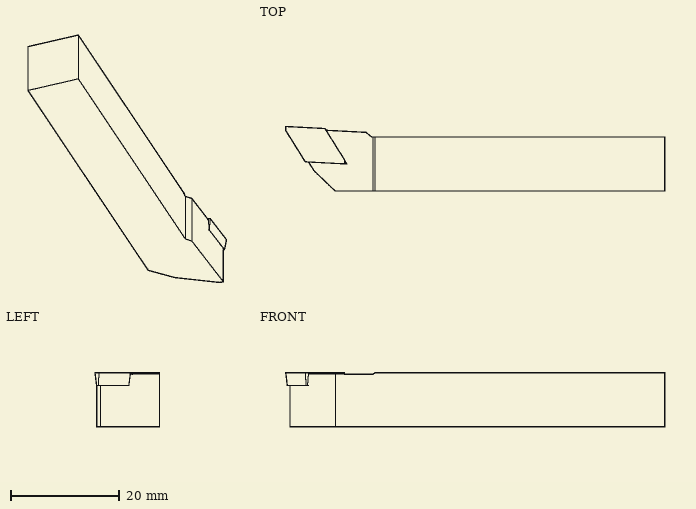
import cadquery as cq
import math

TOTAL_LENGTH = 70
TOTAL_WIDTH = 12.0
SHANK_SIZE = 10.0

INSERT_SIDE = 7.8
INSERT_ANGLE = 55
LEAD_ANGLE = 3
INSERT_THICKNESS = 2.4
RELIEF_ANGLE = 7
CLIP_DEPTH = 0.5

HEAD_DROP = 0.3
STEP_START = 16.1
STEP_END = 16.5
NOSE_X = 0.8
NOSE_TOP_Y = 11.6
NOSE_HEIGHT = 0.7
SHOULDER_START = 14.85
SHOULDER_END = 15.9
CORNER_X = 9.2
FACET_TOP_Y = 4.1
FACET_BOTTOM_Y = 3.8
FACET_RUN = 0.2

lead_slope = math.tan(math.radians(LEAD_ANGLE))
flank_angle = LEAD_ANGLE + INSERT_ANGLE
flank_slope = math.tan(math.radians(flank_angle))


def step_from(point, length, angle_below_x):
    """Point reached by moving along a direction turned clockwise from +X."""
    angle = math.radians(angle_below_x)
    return (point[0] + length * math.cos(angle), point[1] - length * math.sin(angle))


tip = (-CLIP_DEPTH, TOTAL_WIDTH + CLIP_DEPTH * lead_slope)
back_corner = step_from(tip, INSERT_SIDE, LEAD_ANGLE)
inner_corner = step_from(back_corner, INSERT_SIDE, flank_angle)
front_corner = step_from(tip, INSERT_SIDE, flank_angle)


def tapered_plate(outline):
    """Plate hanging from the shank-top level, narrowing downwards by the relief angle."""
    return (
        cq.Workplane("XY", origin=(0, 0, SHANK_SIZE))
        .polyline(outline)
        .close()
        .extrude(-INSERT_THICKNESS, taper=RELIEF_ANGLE)
    )


def make_insert():
    clip_x = inner_corner[0] - CLIP_DEPTH
    return tapered_plate([
        (0, tip[1] - CLIP_DEPTH * lead_slope),
        back_corner,
        (clip_x, inner_corner[1] + CLIP_DEPTH * flank_slope),
        (clip_x, inner_corner[1] + CLIP_DEPTH * lead_slope),
        front_corner,
        (0, tip[1] - CLIP_DEPTH * flank_slope),
    ])


def make_holder():
    nose_bottom_y = NOSE_TOP_Y - NOSE_HEIGHT
    facet_top_x = NOSE_X + (nose_bottom_y - FACET_TOP_Y) / flank_slope
    facet_bottom_x = facet_top_x + FACET_RUN
    shoulder_y = NOSE_TOP_Y - (SHOULDER_START - NOSE_X) * lead_slope
    plan = [
        (CORNER_X, 0),
        (TOTAL_LENGTH, 0),
        (TOTAL_LENGTH, SHANK_SIZE),
        (SHOULDER_END, SHANK_SIZE),
        (SHOULDER_START, shoulder_y),
        (NOSE_X, NOSE_TOP_Y),
        (NOSE_X, nose_bottom_y),
        (facet_top_x, FACET_TOP_Y),
        (facet_bottom_x, FACET_BOTTOM_Y),
    ]
    body = cq.Workplane("XY").polyline(plan).close().extrude(SHANK_SIZE)

    head_relief = (
        cq.Workplane("XZ")
        .polyline([
            (0, SHANK_SIZE),
            (0, SHANK_SIZE - HEAD_DROP),
            (STEP_START, SHANK_SIZE - HEAD_DROP),
            (STEP_END, SHANK_SIZE),
        ])
        .close()
        .extrude(-TOTAL_WIDTH)
    )

    seat = tapered_plate([tip, back_corner, inner_corner, front_corner])
    return body.cut(head_relief).cut(seat)


holder = make_holder()
insert = make_insert()

result = cq.Compound.makeCompound([holder.val(), insert.val()])